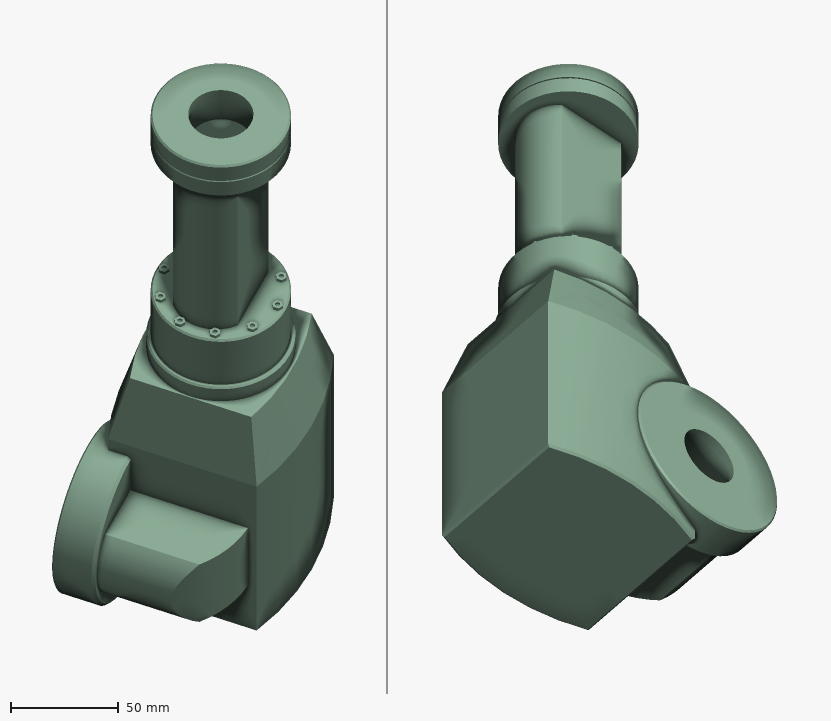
import cadquery as cq
import math

TOTAL_HEIGHT = 296.0
DISC_THICKNESS = 10.0
FLANGE_RADIUS = 32.5
EDGE_CHAMFER = 1.0
BORE_RADIUS = 15.0

RING_BASE = TOTAL_HEIGHT - DISC_THICKNESS
FLANGE_BASE = RING_BASE - DISC_THICKNESS

RAM_HALF_WIDTH = 16.3
RAM_FLAT_HALF_LENGTH = 18.0
RAM_HALF_DEPTH = 26.0

SHOULDER_BASE = 100.5
SHOULDER_TOP = 136.0
SHOULDER_INSET = 9.8
BOX_HALF_DEPTH = 45.0
BOX_CORNER_X = 37.5
BOX_HALF_WIDTH = 46.0
BASE_CHAMFER = 1.2

COLLAR_RADIUS = 34.5
COLLAR_TOP = 145.0
CAP_RADIUS = FLANGE_RADIUS
CAP_TOP = 175.5

SCREW_COUNT = 10
HEXAGON_SIDES = 6
SCREW_CIRCLE_RADIUS = 28.7
SCREW_HEAD_WIDTH = 5.3
SCREW_HEAD_HEIGHT = 1.8
SOCKET_WIDTH = 2.7
SOCKET_DEPTH = 1.2

ARM_Y = -BOX_HALF_DEPTH
ARM_Z = 50.3
SIDE_FLANGE_RADIUS = 42.5
SIDE_FLANGE_FACE_X = -47.7
SIDE_FLANGE_THICKNESS = 21.5
SIDE_INNER_CHAMFER = 1.5

ARM_HALF_HEIGHT = 19.8
ARM_FLAT_LENGTH = 30.0
ARM_NOSE_RADIUS = 25.2
ARM_ROOT_X = 33.2
ARM_SHOULDER_X = 21.5
ARM_TIP_X = 11.2


def disc(radius, base, top):
    """Disc on the Z axis with a chamfered top edge."""
    blank = cq.Workplane("XY").workplane(offset=base).circle(radius).extrude(top - base)
    return blank.faces(">Z").edges().chamfer(EDGE_CHAMFER)


def bore(base, top):
    """Cutter for the bore on the Z axis."""
    return cq.Workplane("XY").workplane(offset=base).circle(BORE_RADIUS).extrude(top - base)


def box_outline(z):
    """Housing outline at height z: flat front and back, bowed left and right sides."""
    return (
        cq.Workplane("XY").workplane(offset=z)
        .moveTo(-BOX_CORNER_X, -BOX_HALF_DEPTH)
        .lineTo(BOX_CORNER_X, -BOX_HALF_DEPTH)
        .threePointArc((BOX_HALF_WIDTH, 0), (BOX_CORNER_X, BOX_HALF_DEPTH))
        .lineTo(-BOX_CORNER_X, BOX_HALF_DEPTH)
        .threePointArc((-BOX_HALF_WIDTH, 0), (-BOX_CORNER_X, -BOX_HALF_DEPTH))
        .close()
    )


def make_box():
    """Housing box with its tapered shoulder."""
    shoulder_height = SHOULDER_TOP - SHOULDER_BASE
    taper = math.degrees(math.atan2(SHOULDER_INSET, shoulder_height))
    box = box_outline(0).extrude(SHOULDER_BASE).faces("<Z").edges().chamfer(BASE_CHAMFER)
    shoulder = box_outline(SHOULDER_BASE).extrude(shoulder_height, taper=taper)
    return box.union(shoulder)


def make_screw_head(angle):
    """Hexagon screw head with a hexagon socket, standing on the cap at the given angle."""
    x = SCREW_CIRCLE_RADIUS * math.cos(angle)
    y = SCREW_CIRCLE_RADIUS * math.sin(angle)
    head = (
        cq.Workplane("XY").workplane(offset=CAP_TOP).center(x, y)
        .polygon(HEXAGON_SIDES, SCREW_HEAD_WIDTH).extrude(SCREW_HEAD_HEIGHT)
    )
    return head.faces(">Z").workplane().polygon(HEXAGON_SIDES, SOCKET_WIDTH).cutBlind(-SOCKET_DEPTH)


def make_ram():
    """Ram shaft with two flats and two rounded sides."""
    return (
        cq.Workplane("XY").workplane(offset=CAP_TOP)
        .moveTo(-RAM_HALF_WIDTH, -RAM_FLAT_HALF_LENGTH)
        .threePointArc((0, -RAM_HALF_DEPTH), (RAM_HALF_WIDTH, -RAM_FLAT_HALF_LENGTH))
        .lineTo(RAM_HALF_WIDTH, RAM_FLAT_HALF_LENGTH)
        .threePointArc((0, RAM_HALF_DEPTH), (-RAM_HALF_WIDTH, RAM_FLAT_HALF_LENGTH))
        .close().extrude(FLANGE_BASE - CAP_TOP)
    )


def side_plane():
    """Plane at the outer face of the side flange, with local x along Y and local y along Z."""
    return cq.Workplane("YZ", origin=(SIDE_FLANGE_FACE_X, ARM_Y, ARM_Z))


def make_side_flange():
    """Side flange with both rims chamfered."""
    flange = side_plane().circle(SIDE_FLANGE_RADIUS).extrude(SIDE_FLANGE_THICKNESS)
    flange = flange.faces("<X").edges().chamfer(EDGE_CHAMFER)
    return flange.faces(">X").edges().chamfer(SIDE_INNER_CHAMFER)


def make_arm():
    """Arm with flat top and bottom and a round nose, ended by a vertical curved face."""
    nose_rise = ARM_NOSE_RADIUS - math.sqrt(ARM_NOSE_RADIUS**2 - ARM_HALF_HEIGHT**2)
    reach = ARM_FLAT_LENGTH + nose_rise
    length = ARM_ROOT_X - SIDE_FLANGE_FACE_X
    start_x = SIDE_FLANGE_FACE_X + SIDE_FLANGE_THICKNESS / 2
    bar = (
        side_plane().moveTo(0, -ARM_HALF_HEIGHT)
        .lineTo(-ARM_FLAT_LENGTH, -ARM_HALF_HEIGHT)
        .threePointArc((-reach, 0), (-ARM_FLAT_LENGTH, ARM_HALF_HEIGHT))
        .lineTo(0, ARM_HALF_HEIGHT).close().extrude(length)
    )
    plan = (
        cq.Workplane("XY").workplane(offset=ARM_Z - ARM_HALF_HEIGHT)
        .moveTo(start_x, ARM_Y)
        .lineTo(ARM_ROOT_X, ARM_Y)
        .threePointArc((ARM_SHOULDER_X, ARM_Y - ARM_FLAT_LENGTH), (ARM_TIP_X, ARM_Y - reach))
        .lineTo(start_x, ARM_Y - reach)
        .close().extrude(2 * ARM_HALF_HEIGHT)
    )
    return bar.intersect(plan)


def make_arm_unit():
    """Housing, side arm, collar, cap with screws, ram and ram flange as one solid."""
    unit = make_box().union(make_arm()).union(make_side_flange())
    unit = unit.cut(side_plane().circle(BORE_RADIUS).extrude(SIDE_FLANGE_THICKNESS))
    unit = unit.union(disc(COLLAR_RADIUS, SHOULDER_TOP, COLLAR_TOP))
    unit = unit.union(disc(CAP_RADIUS, COLLAR_TOP, CAP_TOP))
    for i in range(SCREW_COUNT):
        unit = unit.union(make_screw_head(2 * math.pi * i / SCREW_COUNT))
    ram_flange = disc(FLANGE_RADIUS, FLANGE_BASE, RING_BASE).cut(bore(FLANGE_BASE, RING_BASE))
    return unit.union(make_ram()).union(ram_flange)


def make_face_ring():
    """Ring seated on the ram flange."""
    return disc(FLANGE_RADIUS, RING_BASE, TOTAL_HEIGHT).cut(bore(RING_BASE, TOTAL_HEIGHT))


arm_unit = make_arm_unit()
face_ring = make_face_ring()

result = cq.Compound.makeCompound([arm_unit.val(), face_ring.val()])